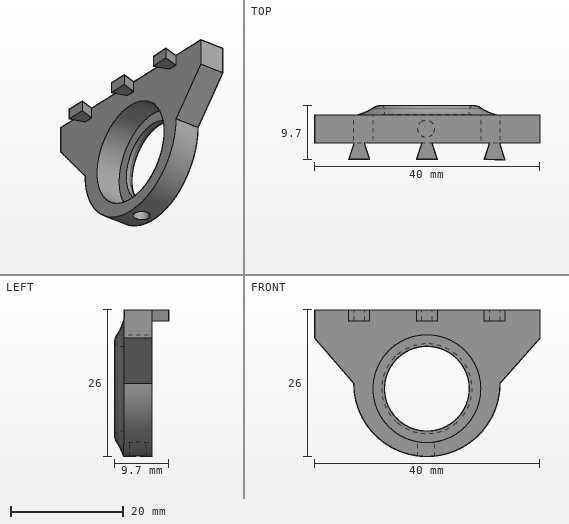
import cadquery as cq

plate_width = 40
plate_height = 26
plate_thickness = 5.0
plate_offset = 0.1
shoulder_height = 5.0
outer_radius = plate_height / 2

bore_z = 12.05
seat_diameter = 19.1
opening_diameter = 15.0

collar_height = 1.7
collar_base_radius = 12.4
collar_waist_radius = 9.7
collar_waist_height = 1.15
collar_top_radius = 8.35
collar_hollow = 0.1
collar_crown = 0.1

mouth_start = 0.65
mouth_radius = 8
mouth_bulge = 0.15

radial_hole_diameter = 3.0
radial_hole_x = -0.15
radial_hole_y = 2.55

tooth_pitch = 12
tooth_tip_width = 3.7
tooth_root_width = 1.85
tooth_length = 2.9
long_corner_length = 3.0
tooth_height = 2


def make_outline(depth):
    """Plate with sloping shoulders and a semicircular bottom, from Y = 0 to depth."""
    left = plate_offset - plate_width / 2
    right = plate_offset + plate_width / 2
    shoulder_z = plate_height - shoulder_height
    return (
        cq.Workplane("XZ")
        .moveTo(left, plate_height)
        .lineTo(right, plate_height)
        .lineTo(right, shoulder_z)
        .lineTo(outer_radius, outer_radius)
        .threePointArc((0, 0), (-outer_radius, outer_radius))
        .lineTo(left, shoulder_z)
        .close()
        .extrude(-depth)
    )


def make_collar():
    """Flared collar around the opening, trimmed to the plate outline."""
    collar = (
        cq.Workplane("XY")
        .moveTo(0, 0)
        .lineTo(collar_base_radius, 0)
        .sagittaArc((collar_waist_radius, collar_waist_height), collar_hollow)
        .sagittaArc((collar_top_radius, collar_height), -collar_crown)
        .lineTo(0, collar_height)
        .close()
        .revolve(360, (0, 0, 0), (0, 1, 0))
        .translate((0, plate_thickness, bore_z))
    )
    return collar.intersect(make_outline(plate_thickness + collar_height))


def make_mouth():
    """Rounded flare that widens the opening towards the back rim."""
    return (
        cq.Workplane("XY")
        .moveTo(0, mouth_start)
        .lineTo(opening_diameter / 2, mouth_start)
        .sagittaArc((mouth_radius, collar_height), mouth_bulge)
        .lineTo(0, collar_height)
        .close()
        .revolve(360, (0, 0, 0), (0, 1, 0))
        .translate((0, plate_thickness, bore_z))
    )


def make_tooth(center_x, right_length):
    """Dovetail tooth, wider at its tip; right_length is the reach of its +X corner."""
    return (
        cq.Workplane("XY", origin=(center_x, 0, plate_height - tooth_height))
        .moveTo(-tooth_root_width / 2, 0)
        .lineTo(-tooth_tip_width / 2, -tooth_length)
        .lineTo(tooth_tip_width / 2, -right_length)
        .lineTo(tooth_root_width / 2, 0)
        .close()
        .extrude(tooth_height)
    )


def make_bore(diameter, depth):
    """Cylinder on the ring axis, from the front face to depth."""
    return cq.Workplane("XZ", origin=(0, 0, bore_z)).circle(diameter / 2).extrude(-depth)


result = make_outline(plate_thickness).union(make_collar())

for index, corner_length in ((-1, tooth_length), (0, tooth_length), (1, long_corner_length)):
    result = result.union(make_tooth(index * tooth_pitch, corner_length))

result = result.cut(make_bore(seat_diameter, plate_thickness))
result = result.cut(make_bore(opening_diameter, plate_thickness + collar_height))
result = result.cut(make_mouth())

radial_hole = (
    cq.Workplane("XY", origin=(radial_hole_x, radial_hole_y, 0))
    .circle(radial_hole_diameter / 2)
    .extrude(bore_z)
)
result = result.cut(radial_hole)